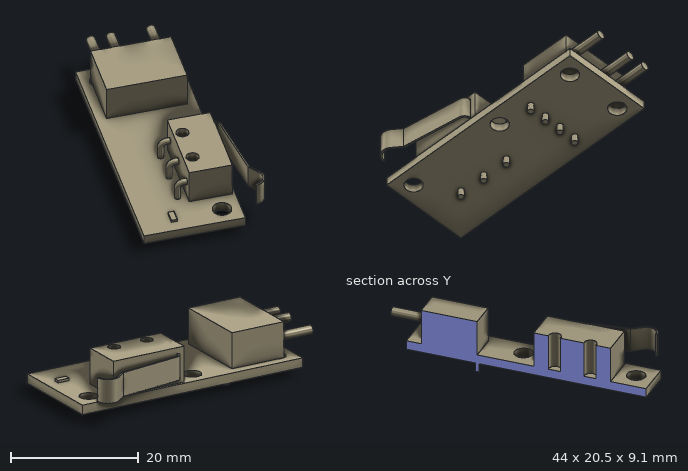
import cadquery as cq
import math

BOARD_LENGTH = 40.5
BOARD_WIDTH = 16.5
BOARD_THICKNESS = 1.6
MOUNT_HOLE_DIAMETER = 3.0
MOUNT_HOLE_CENTERS = [(3.0, 3.0), (3.0, 13.5), (18.5, 13.5), (37.5, 13.5)]

COMPONENT_HEIGHT = 6.0
COMPONENT_MID_Z = BOARD_THICKNESS + COMPONENT_HEIGHT / 2

LEAD_DIAMETER = 1.0
LEAD_PROTRUSION = 1.5

CONNECTOR_X = 2.5
CONNECTOR_Y = 1.75
CONNECTOR_LENGTH = 9.5
CONNECTOR_WIDTH = 13.1
CONTACT_DIAMETER = 1.5
CONTACT_TIP_X = -3.5
PIN_PITCH = 3.25
FIRST_PIN_Y = 3.4
CONNECTOR_LEAD_COUNT = 4
CONTACT_POSITIONS = [0, 1, 3]

SWITCH_X = 21.5
SWITCH_Y = 9.0
SWITCH_LENGTH = 13.0
SWITCH_WIDTH = 7.0
SWITCH_HOLE_DIAMETER = 2.0
SWITCH_HOLE_SPACING = 6.0
SWITCH_HOLE_SETBACK = 1.5
SWITCH_MID_X = SWITCH_X + SWITCH_LENGTH / 2
SWITCH_BACK_Y = SWITCH_Y + SWITCH_WIDTH

SWITCH_LEAD_PITCH = 5.0
SWITCH_LEAD_COUNT = 3
LEAD_STUB = 0.5
LEAD_BEND_RADIUS = 1.0

LEVER_THICKNESS = 0.3
LEVER_HEIGHT = 4.0
HEEL_RADIUS = 1.15
HEEL_CENTER = (23.8, SWITCH_BACK_Y)
HOOK_RADIUS = 1.7
HOOK_CENTER = (37.15, 18.65)
ARM_ANGLE = 8.2
RAMP_ANGLE = 38.0

CHIP_X = 36.5
CHIP_Y = 5.0
CHIP_LENGTH = 2.0
CHIP_WIDTH = 1.0
CHIP_HEIGHT = 0.4


def block_on_board(x, y, length, width, height):
    """Box standing on the board with its lower-left corner at (x, y)."""
    return (
        cq.Workplane("XY", origin=(x, y, BOARD_THICKNESS))
        .box(length, width, height, centered=False)
    )


def point_on_arc(center, radius, degrees):
    angle = math.radians(degrees)
    return (
        center[0] + radius * math.cos(angle),
        center[1] + radius * math.sin(angle),
    )


def make_board():
    board = cq.Workplane("XY").box(BOARD_LENGTH, BOARD_WIDTH, BOARD_THICKNESS, centered=False)
    holes = (
        cq.Workplane("XY")
        .pushPoints(MOUNT_HOLE_CENTERS)
        .circle(MOUNT_HOLE_DIAMETER / 2)
        .extrude(BOARD_THICKNESS)
    )
    return board.cut(holes)


def make_connector():
    """Housing with horizontal contact pins and solder leads under its back face."""
    housing = block_on_board(
        CONNECTOR_X, CONNECTOR_Y, CONNECTOR_LENGTH, CONNECTOR_WIDTH, COMPONENT_HEIGHT
    )
    contacts = (
        cq.Workplane("YZ", origin=(CONTACT_TIP_X, 0, 0))
        .pushPoints([(FIRST_PIN_Y + i * PIN_PITCH, COMPONENT_MID_Z) for i in CONTACT_POSITIONS])
        .circle(CONTACT_DIAMETER / 2)
        .extrude(CONNECTOR_X - CONTACT_TIP_X)
    )
    lead_x = CONNECTOR_X + CONNECTOR_LENGTH
    leads = (
        cq.Workplane("XY")
        .pushPoints([(lead_x, FIRST_PIN_Y + i * PIN_PITCH) for i in range(CONNECTOR_LEAD_COUNT)])
        .circle(LEAD_DIAMETER / 2)
        .extrude(-LEAD_PROTRUSION)
    )
    return housing.union(contacts).union(leads)


def make_switch_body():
    body = block_on_board(SWITCH_X, SWITCH_Y, SWITCH_LENGTH, SWITCH_WIDTH, COMPONENT_HEIGHT)
    hole_y = SWITCH_Y + SWITCH_HOLE_SETBACK
    hole_centers = [
        (SWITCH_MID_X - SWITCH_HOLE_SPACING / 2, hole_y),
        (SWITCH_MID_X + SWITCH_HOLE_SPACING / 2, hole_y),
    ]
    holes = (
        cq.Workplane("XY", origin=(0, 0, BOARD_THICKNESS))
        .pushPoints(hole_centers)
        .circle(SWITCH_HOLE_DIAMETER / 2)
        .extrude(COMPONENT_HEIGHT)
    )
    return body.cut(holes)


def make_switch_lead(x):
    """Round wire leaving the switch front, bending down and passing through the board."""
    bend_start_y = SWITCH_Y - LEAD_STUB
    bend_end_y = bend_start_y - LEAD_BEND_RADIUS
    bend_end_z = COMPONENT_MID_Z - LEAD_BEND_RADIUS
    path = (
        cq.Workplane("YZ", origin=(x, 0, 0))
        .moveTo(SWITCH_Y, COMPONENT_MID_Z)
        .lineTo(bend_start_y, COMPONENT_MID_Z)
        .radiusArc((bend_end_y, bend_end_z), -LEAD_BEND_RADIUS)
        .lineTo(bend_end_y, -LEAD_PROTRUSION)
    )
    return (
        cq.Workplane("XZ", origin=(x, SWITCH_Y, COMPONENT_MID_Z))
        .circle(LEAD_DIAMETER / 2)
        .sweep(path)
    )


def lever_kink(heel_radius, hook_radius):
    """Point where the arm, tangent to the heel, meets the ramp, tangent to the hook."""
    arm_x, arm_y = point_on_arc((0, 0), 1, 90 + ARM_ANGLE)
    ramp_x, ramp_y = point_on_arc((0, 0), 1, 90 + RAMP_ANGLE)
    arm_distance = arm_x * HEEL_CENTER[0] + arm_y * HEEL_CENTER[1] + heel_radius
    ramp_distance = ramp_x * HOOK_CENTER[0] + ramp_y * HOOK_CENTER[1] + hook_radius
    determinant = arm_x * ramp_y - arm_y * ramp_x
    return (
        (arm_distance * ramp_y - ramp_distance * arm_y) / determinant,
        (arm_x * ramp_distance - ramp_x * arm_distance) / determinant,
    )


def lever_side(offset):
    """Heel arc points, kink and hook arc points of the lever line moved outward by offset."""
    heel_radius = HEEL_RADIUS + offset
    hook_radius = HOOK_RADIUS + offset
    heel_end = 90 + ARM_ANGLE
    hook_start = 90 + RAMP_ANGLE
    heel = [point_on_arc(HEEL_CENTER, heel_radius, a) for a in (180, (180 + heel_end) / 2, heel_end)]
    hook = [point_on_arc(HOOK_CENTER, hook_radius, a) for a in (hook_start, hook_start / 2, 0)]
    return heel, lever_kink(heel_radius, hook_radius), hook


def make_lever():
    outer_heel, outer_kink, outer_hook = lever_side(LEVER_THICKNESS / 2)
    inner_heel, inner_kink, inner_hook = lever_side(-LEVER_THICKNESS / 2)
    return (
        cq.Workplane("XY", origin=(0, 0, COMPONENT_MID_Z - LEVER_HEIGHT / 2))
        .moveTo(*outer_heel[0])
        .threePointArc(outer_heel[1], outer_heel[2])
        .lineTo(*outer_kink)
        .lineTo(*outer_hook[0])
        .threePointArc(outer_hook[1], outer_hook[2])
        .lineTo(*inner_hook[2])
        .threePointArc(inner_hook[1], inner_hook[0])
        .lineTo(*inner_kink)
        .lineTo(*inner_heel[2])
        .threePointArc(inner_heel[1], inner_heel[0])
        .close()
        .extrude(LEVER_HEIGHT)
    )


def make_switch():
    switch = make_switch_body().union(make_lever())
    first_lead_x = SWITCH_MID_X - SWITCH_LEAD_PITCH * (SWITCH_LEAD_COUNT - 1) / 2
    for i in range(SWITCH_LEAD_COUNT):
        switch = switch.union(make_switch_lead(first_lead_x + i * SWITCH_LEAD_PITCH))
    return switch


def make_chip():
    return block_on_board(CHIP_X, CHIP_Y, CHIP_LENGTH, CHIP_WIDTH, CHIP_HEIGHT)


result = make_board().union(make_connector()).union(make_switch()).union(make_chip())